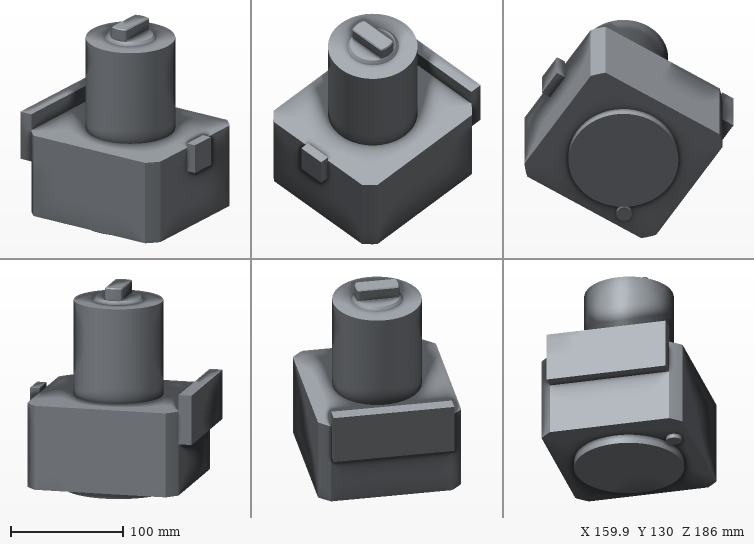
import cadquery as cq

total_height = 186.0

block_length = 139.5
block_width = 130.0
block_bottom = 8.2
block_top = 85.0
corner_round_diameter = 177.5

pilot_diameter = 98.0
pin_diameter = 14.0
pin_length = 3.9
pin_x = -32.5
pin_y = -49.8

tower_diameter = 80.0
tower_top = 171.5
collar_top = 174.5
collar_top_diameter = 40.5
collar_height = collar_top - tower_top
collar_bottom_diameter = collar_top_diameter + 2 * collar_height
key_thickness = 16.0
key_diameter = 39.8
key_chamfer = 1.0
key_foot_size = 1.0

plate_thickness = 11.9
plate_width = 109.5
plate_bottom = 55.0
plate_top = 100.0
tab_thickness = 8.5
tab_width = 25.0
tab_bottom = 62.7
tab_top = 89.1


def cylinder(diameter, bottom, top):
    """Solid cylinder on the shaft axis."""
    return cq.Workplane("XY").workplane(offset=bottom).circle(diameter / 2).extrude(top - bottom)


def box(length, width, bottom, top, center_x=0.0):
    """Upright box centred on Y = 0."""
    return (
        cq.Workplane("XY")
        .workplane(offset=bottom)
        .center(center_x, 0)
        .rect(length, width)
        .extrude(top - bottom)
    )


def make_block():
    blank = box(block_length, block_width, block_bottom, block_top)
    return blank.intersect(cylinder(corner_round_diameter, block_bottom, block_top))


def make_pin():
    return (
        cq.Workplane("XY")
        .workplane(offset=block_bottom)
        .center(pin_x, pin_y)
        .circle(pin_diameter / 2)
        .extrude(-pin_length)
    )


def make_collar():
    return (
        cq.Workplane("XY")
        .workplane(offset=tower_top)
        .circle(collar_bottom_diameter / 2)
        .workplane(offset=collar_height)
        .circle(collar_top_diameter / 2)
        .loft(ruled=True)
    )


def make_key():
    """Flat key with round ends, chamfered on its upright edges and around its top."""
    blank = box(key_thickness, key_diameter, collar_top, total_height)
    key = blank.intersect(cylinder(key_diameter, collar_top, total_height))
    return key.edges("|Z").chamfer(key_chamfer).faces(">Z").chamfer(key_chamfer)


def make_key_foot():
    """Sloped strips along both flat sides of the key, where it meets the collar."""
    foot_top = collar_top + key_foot_size
    half_key = key_thickness / 2
    half_foot = half_key + key_foot_size
    wedge = (
        cq.Workplane("XZ")
        .polyline(
            [
                (-half_foot, collar_top),
                (half_foot, collar_top),
                (half_key, foot_top),
                (-half_key, foot_top),
            ]
        )
        .close()
        .extrude(key_diameter / 2, both=True)
    )
    key_sides = wedge.cut(box(key_thickness, key_diameter, collar_top, foot_top))
    return key_sides.intersect(cylinder(key_diameter, collar_top, foot_top))


def make_side_plate():
    center_x = -(block_length + plate_thickness) / 2
    return box(plate_thickness, plate_width, plate_bottom, plate_top, center_x)


def make_side_tab():
    center_x = (block_length + tab_thickness) / 2
    return box(tab_thickness, tab_width, tab_bottom, tab_top, center_x)


result = (
    make_block()
    .union(cylinder(pilot_diameter, 0, block_bottom))
    .union(make_pin())
    .union(cylinder(tower_diameter, block_top, tower_top))
    .union(make_collar())
    .union(make_key())
    .union(make_key_foot())
    .union(make_side_plate())
    .union(make_side_tab())
)